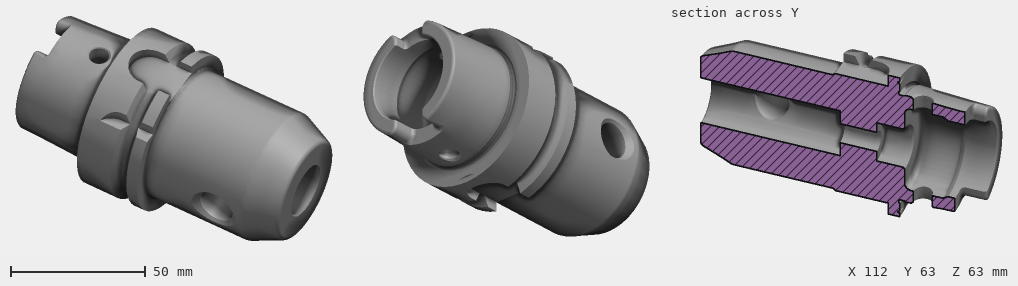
import cadquery as cq
import math


total_length = 112.0
flange_start = 32.0
flange_width = 26.0
flange_end = flange_start + flange_width

gauge_radius = 48.0 / 2
gauge_x = 25.8
taper_slope = 1 / 20
taper_end = 29.7
end_fillet = 1.1

relief_radius = 23.9
relief_start = 30.4
relief_arc_start = 31.5
relief_arc_mid = (32.4, 24.3)
relief_rim_radius = 25.2

flange_radius = 63.0 / 2
groove_x = 50.0
groove_radius = 27.5
groove_half_top = 3.4
groove_half_floor = 1.3
groove_fillet = 1.0

body_radius = 51.5 / 2
body_fillet = 1.0
nose_start = 99.1
nose_radius = 40.0 / 2
nose_fillet = 2.0
shoulder_fillet = 2.5

mouth_radius = 34.0 / 2
mouth_chamfer = 0.5
shoulder_x = 12.7
shoulder_angle = 30
chamber_radius = 18.3
chamber_depth = 30.0
chamber_fillet = 2.5

thread_radius = 17.0 / 2
thread_mouth_radius = 18.5 / 2
thread_depth = 11.2
coolant_radius = 8.4 / 2
tool_radius = 20.0 / 2
tool_mouth_radius = 21.0 / 2
tool_bore_start = 56.0

drive_half_width = 6.3
drive_corner_z = 17.9
drive_corner_radius = 3.0
drive_floor_fillet = 1.5
drive_depth_top = 5.8
drive_depth_bottom = 9.9
mouth_margin = 0.1

keyway_radius = 16.0 / 2
keyway_centre_x = 44.8
keyway_floor = 26.5
notch_offset = 20.0

access_x = 22.8
access_diameter = 7.5
access_sink_floor = 23.2
screw_x = 87.4
screw_diameter = 13.9
screw_mouth_diameter = 18.5

clearance = 5.6


def taper_radius(x):
    return gauge_radius + (x - gauge_x) * taper_slope


def revolve_about_x(profile):
    return profile.close().revolve(360, (0, 0, 0), (1, 0, 0))


def fillet_rings(solid, x, radius, fillet):
    """Round the circular edges that lie at an axial place and a radius."""
    margin = 0.06
    reach = radius + margin
    hollow = radius - margin
    box = cq.selectors.BoxSelector((x - margin, -reach, -reach), (x + margin, reach, reach), boundingbox=True)
    inner = cq.selectors.BoxSelector((x - margin, -hollow, -hollow), (x + margin, hollow, hollow), boundingbox=True)
    return solid.edges(box - inner).fillet(fillet)


def outer_body():
    body = revolve_about_x(
        cq.Workplane("XY")
        .moveTo(0, 0)
        .lineTo(0, taper_radius(0))
        .lineTo(taper_end, taper_radius(taper_end))
        .lineTo(relief_start, relief_radius)
        .lineTo(relief_arc_start, relief_radius)
        .threePointArc(relief_arc_mid, (flange_start, relief_rim_radius))
        .lineTo(flange_start, flange_radius)
        .lineTo(groove_x - groove_half_top, flange_radius)
        .lineTo(groove_x - groove_half_floor, groove_radius)
        .lineTo(groove_x + groove_half_floor, groove_radius)
        .lineTo(groove_x + groove_half_top, flange_radius)
        .lineTo(flange_end, flange_radius)
        .lineTo(flange_end, body_radius)
        .lineTo(nose_start, body_radius)
        .lineTo(total_length, nose_radius)
        .lineTo(total_length, 0)
    )
    body = fillet_rings(body, 0, taper_radius(0), end_fillet)
    body = fillet_rings(body, groove_x - groove_half_floor, groove_radius, groove_fillet)
    body = fillet_rings(body, groove_x + groove_half_floor, groove_radius, groove_fillet)
    body = fillet_rings(body, flange_end, body_radius, body_fillet)
    body = fillet_rings(body, nose_start, body_radius, shoulder_fillet)
    return fillet_rings(body, total_length, nose_radius, nose_fillet)


def axial_bore():
    chamber_start = shoulder_x + (chamber_radius - mouth_radius) / math.tan(math.radians(shoulder_angle))
    thread_chamfer = thread_mouth_radius - thread_radius
    thread_end = chamber_depth + thread_depth
    tool_chamfer = tool_mouth_radius - tool_radius
    bore = revolve_about_x(
        cq.Workplane("XY")
        .moveTo(0, 0)
        .lineTo(0, mouth_radius + mouth_chamfer)
        .lineTo(mouth_chamfer, mouth_radius)
        .lineTo(shoulder_x, mouth_radius)
        .lineTo(chamber_start, chamber_radius)
        .lineTo(chamber_depth, chamber_radius)
        .lineTo(chamber_depth, thread_mouth_radius)
        .lineTo(chamber_depth + thread_chamfer, thread_radius)
        .lineTo(thread_end, thread_radius)
        .lineTo(thread_end, coolant_radius)
        .lineTo(tool_bore_start, coolant_radius)
        .lineTo(tool_bore_start, tool_radius)
        .lineTo(total_length - tool_chamfer, tool_radius)
        .lineTo(total_length, tool_mouth_radius)
        .lineTo(total_length, 0)
    )
    return fillet_rings(bore, chamber_depth, chamber_radius, chamber_fillet)


def drive_slot(depth):
    """Slot open at the shank end, flaring outward round the corners of the driving tangs."""
    corner_y = drive_half_width + drive_corner_radius
    corner_top = drive_corner_z + drive_corner_radius
    arc_y = corner_y - drive_corner_radius * math.cos(math.pi / 4)
    arc_z = drive_corner_z + drive_corner_radius * math.sin(math.pi / 4)
    side_y = corner_y + clearance
    top_z = gauge_radius + clearance
    slot = (
        cq.Workplane("YZ")
        .moveTo(-drive_half_width, 0)
        .lineTo(-drive_half_width, drive_corner_z)
        .threePointArc((-arc_y, arc_z), (-corner_y, corner_top))
        .lineTo(-side_y, corner_top)
        .lineTo(-side_y, top_z)
        .lineTo(side_y, top_z)
        .lineTo(side_y, corner_top)
        .lineTo(corner_y, corner_top)
        .threePointArc((arc_y, arc_z), (drive_half_width, drive_corner_z))
        .lineTo(drive_half_width, 0)
        .close()
        .extrude(depth)
    )
    slot = slot.faces(">X").edges().fillet(drive_floor_fillet)
    slab_size = 4 * flange_radius
    slab = cq.Workplane("XY").box(clearance, slab_size, slab_size).translate((-clearance / 2, 0, 0))
    mouth = cq.selectors.BoxSelector(
        (-mouth_margin, -side_y - mouth_margin, -mouth_margin),
        (mouth_margin, side_y + mouth_margin, top_z + mouth_margin),
        boundingbox=True,
    )
    return slab.union(slot).edges(mouth).fillet(end_fillet)


def round_ended_slot(centre_y, floor_z):
    """Milled slot with a half-round end, running out through the back of the flange."""
    height = flange_radius + clearance - floor_z
    end = cq.Workplane("XY", origin=(keyway_centre_x, centre_y, floor_z)).circle(keyway_radius).extrude(height)
    run = cq.Workplane("XY").box(
        flange_end + body_fillet - keyway_centre_x, 2 * keyway_radius, height, centered=(False, True, False)
    )
    return end.union(run.translate((keyway_centre_x, centre_y, floor_z)))


def flip(solid):
    return solid.rotate((0, 0, 0), (1, 0, 0), 180)


def access_hole():
    """Cross hole through both shank walls, with 45 degree countersunk mouths."""
    reach = taper_radius(access_x) + clearance
    hole = cq.Workplane("XY", origin=(access_x, 0, -reach)).circle(access_diameter / 2).extrude(2 * reach)
    sink_height = reach - access_sink_floor
    sink = cq.Workplane("XY").add(
        cq.Solid.makeCone(
            access_diameter / 2,
            access_diameter / 2 + sink_height,
            sink_height,
            cq.Vector(access_x, 0, access_sink_floor),
        )
    )
    return hole.union(sink).union(flip(sink))


def screw_hole():
    """Clamping-screw hole from the -Y side into the tool bore, with a 45 degree countersink."""
    chamfer = (screw_mouth_diameter - screw_diameter) / 2
    hole = cq.Solid.makeCylinder(
        screw_diameter / 2, body_radius, cq.Vector(screw_x, 0, 0), cq.Vector(0, -1, 0)
    )
    sink = cq.Solid.makeCone(
        screw_mouth_diameter / 2,
        screw_diameter / 2,
        chamfer,
        cq.Vector(screw_x, -body_radius, 0),
        cq.Vector(0, 1, 0),
    )
    return cq.Workplane("XY").add(hole).union(cq.Workplane("XY").add(sink))


body = outer_body().cut(axial_bore())
body = body.cut(drive_slot(drive_depth_top)).cut(flip(drive_slot(drive_depth_bottom)))

keyway = round_ended_slot(0, keyway_floor)
body = body.cut(keyway).cut(flip(keyway))
body = body.cut(round_ended_slot(-notch_offset - keyway_radius, notch_offset))

result = body.cut(access_hole()).cut(screw_hole())